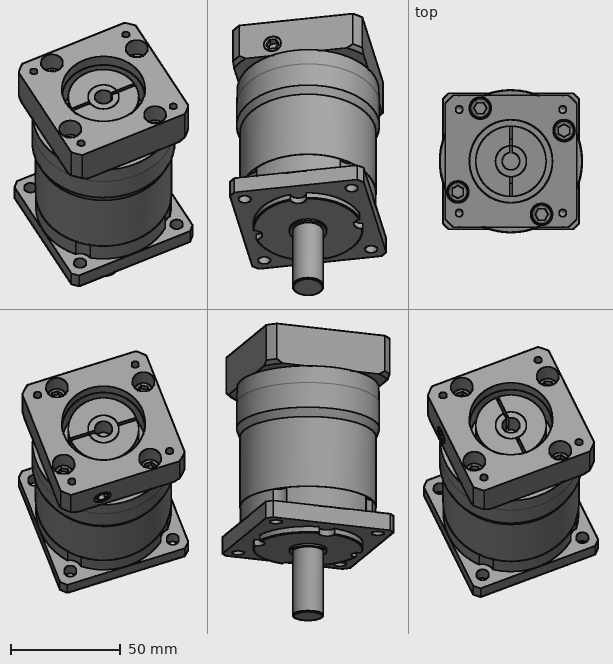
import cadquery as cq
import math

SHAFT_TIP_Z = 0.0
COLLAR_BOTTOM_Z = 31.0
PILOT_BOTTOM_Z = 32.0
FLANGE_BOTTOM_Z = 35.0
FLANGE_TOP_Z = 42.9
BARREL_BOTTOM_Z = 52.2
CONE_BOTTOM_Z = 85.5
RIM_BOTTOM_Z = 89.5
RIM_TAPER_Z = 101.4
RIM_TOP_Z = 109.3
ADAPTER_TOP_Z = 128.0

SHAFT_RADIUS = 7.0
SHAFT_CHAMFER = 0.5
COLLAR_RADIUS = 8.5
PILOT_RADIUS = 25.0
PILOT_CHAMFER = 0.4
PILOT_NOTCH_RADIUS = 3.7
FLANGE_WIDTH = 62.0
FLANGE_CORNER_RADIUS = 42.0
FLANGE_HOLE_RADIUS = 2.8
FLANGE_HOLE_CIRCLE_RADIUS = 35.0
FLANGE_HOLE_FIRST_ANGLE = 45.0
NECK_RADIUS = 30.8
NECK_SCALLOP_RADIUS = 5.5
BARREL_RADIUS = 31.0
RIM_RADIUS = 32.5
RIM_TOP_RADIUS = 32.3

ADAPTER_WIDTH = 59.9
ADAPTER_CORNER_RADIUS = 39.8
ADAPTER_BEVEL_HEIGHT = 1.8
ADAPTER_PILOT_RADIUS = 19.0
ADAPTER_PILOT_DEPTH = 6.1
ADAPTER_BORE_RADIUS = 18.8
MOTOR_HOLE_OFFSET = 23.5
MOTOR_HOLE_RADIUS = 1.7
MOTOR_HOLE_DEPTH = 12.8
DRILL_TIP_ANGLE = 118.0
SCREW_CIRCLE_RADIUS = 27.9
SCREW_FIRST_ANGLE = 30.0
SCREW_HOLE_RADIUS = 5.0
SCREW_HOLE_DEPTH = 14.1
SCREW_HEAD_RADIUS = 4.4
SCREW_HEAD_HEIGHT = 5.1
SCREW_HEAD_FILLET = 0.6
SCREW_SOCKET_FLATS = 5.1
SCREW_SOCKET_DEPTH = 3.2
PLUG_Y = 11.0
PLUG_Z = 116.0
PLUG_RADIUS = 4.0
PLUG_RECESS = 0.3
PLUG_SOCKET_FLATS = 5.0
PLUG_SOCKET_DEPTH = 3.8

HUB_RADIUS = 16.0
HUB_TOP_DEPTH = 5.9
HUB_TOP_Z = ADAPTER_TOP_Z - HUB_TOP_DEPTH
HUB_FLOOR_THICKNESS = 1.9
BUSHING_RADIUS = 7.0
BUSHING_BORE_RADIUS = 4.0
SLIT_WIDTH = 1.2
SLIT_STEP_RADIUS = 10.0
SLIT_INNER_DEPTH = 6.4
SLIT_OUTER_DEPTH = 9.0

QUARTER_TURNS = (0, 90, 180, 270)


def cylinder(radius, bottom_z, top_z, x=0.0, y=0.0):
    """Upright cylinder between two heights."""
    return cq.Workplane("XY", origin=(x, y, bottom_z)).circle(radius).extrude(top_z - bottom_z)


def round_cornered_square(width, corner_radius, bottom_z, top_z):
    """Square plate with its corners turned to a radius about the Z axis."""
    plate = cq.Workplane("XY", origin=(0, 0, bottom_z)).rect(width, width).extrude(top_z - bottom_z)
    return plate.intersect(cylinder(corner_radius, bottom_z, top_z))


def cone_frustum(bottom_radius, top_radius, bottom_z, top_z):
    """Round section whose radius changes linearly with height."""
    axis = cq.Vector(0, 0, 1)
    start = cq.Vector(0, 0, bottom_z)
    return cq.Workplane(cq.Solid.makeCone(bottom_radius, top_radius, top_z - bottom_z, start, axis))


def hexagon_diameter(flats):
    """Corner-to-corner size of a hexagon with the given width across flats."""
    return flats / math.cos(math.pi / 6)


def on_circle(radius, angle):
    """X and Y of a point on a circle about the Z axis, with the angle in degrees."""
    return radius * math.cos(math.radians(angle)), radius * math.sin(math.radians(angle))


def make_housing():
    """Gearbox housing with its flange, barrel, rim and output shaft."""
    shaft = cylinder(SHAFT_RADIUS, SHAFT_TIP_Z, COLLAR_BOTTOM_Z).faces("<Z").chamfer(SHAFT_CHAMFER)
    collar = cylinder(COLLAR_RADIUS, COLLAR_BOTTOM_Z, PILOT_BOTTOM_Z)

    pilot = cylinder(PILOT_RADIUS, PILOT_BOTTOM_Z, FLANGE_BOTTOM_Z).faces("<Z").chamfer(PILOT_CHAMFER)
    for angle in QUARTER_TURNS:
        x, y = on_circle(PILOT_RADIUS, angle)
        pilot = pilot.cut(cylinder(PILOT_NOTCH_RADIUS, PILOT_BOTTOM_Z, FLANGE_BOTTOM_Z, x, y))

    flange = round_cornered_square(FLANGE_WIDTH, FLANGE_CORNER_RADIUS, FLANGE_BOTTOM_Z, FLANGE_TOP_Z)
    neck = cylinder(NECK_RADIUS, FLANGE_TOP_Z, BARREL_BOTTOM_Z)
    for angle in QUARTER_TURNS:
        x, y = on_circle(FLANGE_HOLE_CIRCLE_RADIUS, FLANGE_HOLE_FIRST_ANGLE + angle)
        flange = flange.cut(cylinder(FLANGE_HOLE_RADIUS, FLANGE_BOTTOM_Z, FLANGE_TOP_Z, x, y))
        neck = neck.cut(cylinder(NECK_SCALLOP_RADIUS, FLANGE_TOP_Z, BARREL_BOTTOM_Z, x, y))

    barrel = cylinder(BARREL_RADIUS, BARREL_BOTTOM_Z, CONE_BOTTOM_Z)
    shoulder = cone_frustum(BARREL_RADIUS, RIM_RADIUS, CONE_BOTTOM_Z, RIM_BOTTOM_Z)
    rim = cylinder(RIM_RADIUS, RIM_BOTTOM_Z, RIM_TAPER_Z)
    rim_taper = cone_frustum(RIM_RADIUS, RIM_TOP_RADIUS, RIM_TAPER_Z, RIM_TOP_Z)

    housing = shaft
    for section in (collar, pilot, flange, neck, barrel, shoulder, rim, rim_taper):
        housing = housing.union(section)
    return housing


def motor_hole(x, y):
    """Blind drilled hole with a conical bottom."""
    bottom_z = ADAPTER_TOP_Z - MOTOR_HOLE_DEPTH
    tip_height = MOTOR_HOLE_RADIUS / math.tan(math.radians(DRILL_TIP_ANGLE / 2))
    tip = cone_frustum(0, MOTOR_HOLE_RADIUS, bottom_z - tip_height, bottom_z).translate((x, y, 0))
    return cylinder(MOTOR_HOLE_RADIUS, bottom_z, ADAPTER_TOP_Z, x, y).union(tip)


def screw_head():
    """Rounded socket head standing on the floor of the screw hole that lies on the X axis."""
    bottom_z = ADAPTER_TOP_Z - SCREW_HOLE_DEPTH
    top_z = bottom_z + SCREW_HEAD_HEIGHT
    head = cylinder(SCREW_HEAD_RADIUS, bottom_z, top_z, SCREW_CIRCLE_RADIUS)
    head = head.faces(">Z").edges().fillet(SCREW_HEAD_FILLET)
    socket = (
        cq.Workplane("XY", origin=(SCREW_CIRCLE_RADIUS, 0, top_z))
        .polygon(6, hexagon_diameter(SCREW_SOCKET_FLATS))
        .extrude(-SCREW_SOCKET_DEPTH)
    )
    return head.cut(socket)


def make_adapter():
    """Square motor adapter with its fixing screw heads and side plug."""
    adapter = round_cornered_square(ADAPTER_WIDTH, ADAPTER_CORNER_RADIUS, RIM_TOP_Z, ADAPTER_TOP_Z)

    bevel_top_z = RIM_TOP_Z + ADAPTER_BEVEL_HEIGHT
    bevel_bottom_radius = ADAPTER_CORNER_RADIUS - ADAPTER_BEVEL_HEIGHT
    bevel = cone_frustum(bevel_bottom_radius, ADAPTER_CORNER_RADIUS, RIM_TOP_Z, bevel_top_z)
    above_bevel = cylinder(ADAPTER_WIDTH, bevel_top_z, ADAPTER_TOP_Z)
    adapter = adapter.intersect(bevel.union(above_bevel))

    pilot_floor_z = ADAPTER_TOP_Z - ADAPTER_PILOT_DEPTH
    adapter = adapter.cut(cylinder(ADAPTER_PILOT_RADIUS, pilot_floor_z, ADAPTER_TOP_Z))
    adapter = adapter.cut(cylinder(ADAPTER_BORE_RADIUS, RIM_TOP_Z, pilot_floor_z))

    for x in (-MOTOR_HOLE_OFFSET, MOTOR_HOLE_OFFSET):
        for y in (-MOTOR_HOLE_OFFSET, MOTOR_HOLE_OFFSET):
            adapter = adapter.cut(motor_hole(x, y))

    head = screw_head()
    for turn in QUARTER_TURNS:
        angle = SCREW_FIRST_ANGLE + turn
        x, y = on_circle(SCREW_CIRCLE_RADIUS, angle)
        hole = cylinder(SCREW_HOLE_RADIUS, ADAPTER_TOP_Z - SCREW_HOLE_DEPTH, ADAPTER_TOP_Z, x, y)
        adapter = adapter.cut(hole).union(head.rotate((0, 0, 0), (0, 0, 1), angle))

    plug_plane = cq.Workplane("YZ", origin=(-ADAPTER_WIDTH / 2, PLUG_Y, PLUG_Z))
    plug_recess = plug_plane.circle(PLUG_RADIUS).extrude(PLUG_RECESS)
    plug_socket = plug_plane.polygon(6, hexagon_diameter(PLUG_SOCKET_FLATS)).extrude(PLUG_SOCKET_DEPTH)
    return adapter.cut(plug_recess).cut(plug_socket)


def slit_cut(length, depth, y):
    """Narrow upright slot along Y, centred at y and open at the top of the hub."""
    return cq.Workplane("XY", origin=(0, y, HUB_TOP_Z)).rect(SLIT_WIDTH, length).extrude(-depth)


def make_hub():
    """Clamp hub with a blind bore and a stepped slit right across it."""
    hub = cylinder(HUB_RADIUS, RIM_TOP_Z, HUB_TOP_Z)
    hub = hub.cut(cylinder(BUSHING_RADIUS, RIM_TOP_Z + HUB_FLOOR_THICKNESS, HUB_TOP_Z))
    hub = hub.cut(slit_cut(2 * SLIT_STEP_RADIUS, SLIT_INNER_DEPTH, 0))
    outer_length = HUB_RADIUS - SLIT_STEP_RADIUS
    for side in (-1, 1):
        outer_y = side * (SLIT_STEP_RADIUS + outer_length / 2)
        hub = hub.cut(slit_cut(outer_length, SLIT_OUTER_DEPTH, outer_y))
    return hub


def make_bushing():
    """Reducing bushing, split along its +Y side."""
    bottom_z = RIM_TOP_Z + HUB_FLOOR_THICKNESS
    bushing = cylinder(BUSHING_RADIUS, bottom_z, HUB_TOP_Z)
    bushing = bushing.cut(cylinder(BUSHING_BORE_RADIUS, bottom_z, HUB_TOP_Z))
    return bushing.cut(slit_cut(BUSHING_RADIUS, HUB_TOP_Z - bottom_z, BUSHING_RADIUS / 2))


housing = make_housing()
adapter = make_adapter()
hub = make_hub()
bushing = make_bushing()

result = cq.Compound.makeCompound([housing.val(), adapter.val(), hub.val(), bushing.val()])